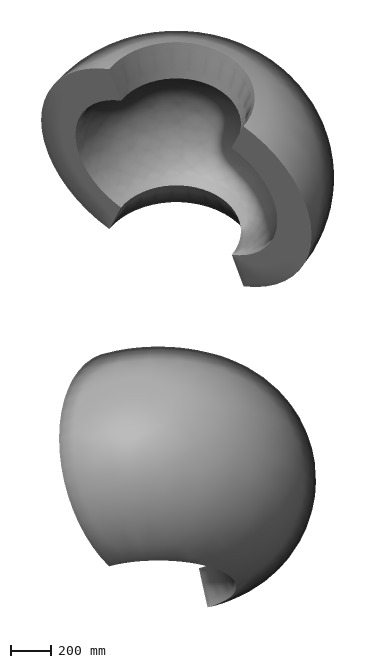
import cadquery as cq
import math

outer_radius = 786.0
outer_arc_radius = 602.0
wall = 200.0
half_angle = 70.0
sweep_angle = 180.0

inner_arc_radius = outer_arc_radius - wall
arc_center = outer_radius - outer_arc_radius


def arc_point(radius, angle):
    """Point (distance from axis, height) on an arc about the section center."""
    a = math.radians(angle)
    return (arc_center + radius * math.cos(a), radius * math.sin(a))


section = (
    cq.Workplane("XZ")
    .moveTo(*arc_point(outer_arc_radius, -half_angle))
    .threePointArc(arc_point(outer_arc_radius, 0), arc_point(outer_arc_radius, half_angle))
    .lineTo(*arc_point(inner_arc_radius, half_angle))
    .threePointArc(arc_point(inner_arc_radius, 0), arc_point(inner_arc_radius, -half_angle))
    .close()
)

result = section.revolve(sweep_angle, (0, 0, 0), (0, 1, 0))